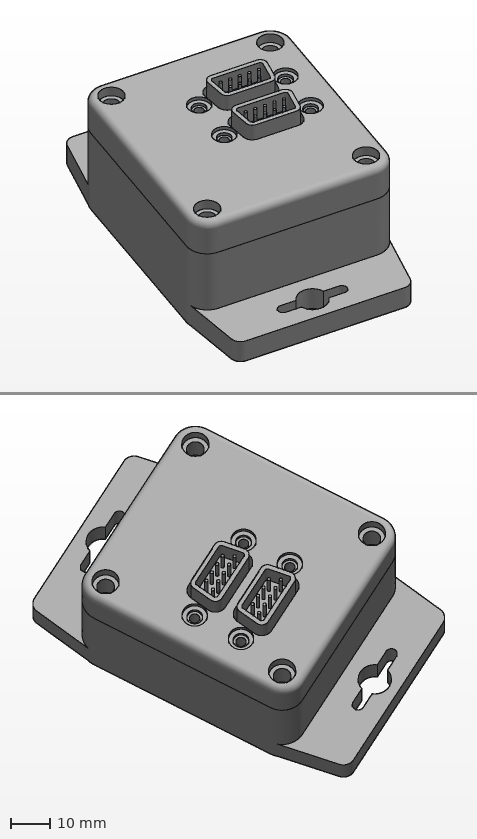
import cadquery as cq

BOX_LENGTH = 64.0
BOX_WIDTH = 58.0
BOX_CORNER_RADIUS = 6.0
SEAM_HEIGHT = 25.0
BOX_HEIGHT = 35.0
LID_EDGE_FILLET = 2.0
CORNER_X = BOX_LENGTH / 2 - BOX_CORNER_RADIUS
CORNER_Y = BOX_WIDTH / 2 - BOX_CORNER_RADIUS

OVERALL_LENGTH = 94.0
EAR_END_WIDTH = 50.95
EAR_THICKNESS = 6.6
EAR_CORNER_RADIUS = 3.0
KEYHOLE_X = 40.0
KEYHOLE_DIAMETER = 8.5
KEYHOLE_SLOT_WIDTH = 3.0
KEYHOLE_SLOT_LENGTH = 20.0

CORNER_HOLE_DIAMETER = 4.5
CORNER_COUNTERBORE_DIAMETER = 7.0
CORNER_COUNTERBORE_DEPTH = 2.8

CONNECTOR_PITCH = 13.6
CONNECTOR_PAIR_X = -5.4
CONNECTOR_Y = 7.5
CONNECTOR_TOP = 39.0
CONNECTOR_XS = [CONNECTOR_PAIR_X + side * CONNECTOR_PITCH / 2 for side in (-1, 1)]

SHELL_WIDTH = 9.4
SHELL_LONG_SIDE = 17.9
SHELL_SHORT_SIDE = 15.0
SHELL_CORNER_RADIUS = 2.0
SHELL_WALL = 1.2
WELL_DEPTH = 6.0
OPENING_CLEARANCE = 0.9

PIN_DIAMETER = 0.8
PIN_LENGTH = 5.8
LONG_ROW_PINS = 5
LONG_ROW_LENGTH = 11.1
PIN_PITCH = LONG_ROW_LENGTH / (LONG_ROW_PINS - 1)
PIN_ROW_SPACING = 2.7
PIN_ROWS = [(-PIN_ROW_SPACING / 2, LONG_ROW_PINS), (PIN_ROW_SPACING / 2, LONG_ROW_PINS - 1)]

JACK_SPACING = 25.0
JACK_RECESS_DIAMETER = 6.5
JACK_RECESS_DEPTH = 1.0
JACK_STEP_DIAMETER = 4.0
JACK_STEP_DEPTH = 1.9
JACK_HOLE_DIAMETER = 2.6


def box_block(bottom, top):
    """Rounded rectangular block with the footprint of the enclosure."""
    block = cq.Workplane("XY").workplane(offset=bottom).rect(BOX_LENGTH, BOX_WIDTH).extrude(top - bottom)
    return block.edges("|Z").fillet(BOX_CORNER_RADIUS)


def corner_cylinders(diameter, bottom, top):
    """Four cylinders on the axes of the rounded box corners."""
    plane = cq.Workplane("XY").workplane(offset=bottom)
    corners = plane.rect(2 * CORNER_X, 2 * CORNER_Y, forConstruction=True).vertices()
    return corners.circle(diameter / 2).extrude(top - bottom)


def ear_plate():
    """Plate that tapers towards both ends, from the box corners to the ear ends."""
    end_x = OVERALL_LENGTH / 2
    end_y = EAR_END_WIDTH / 2
    side_y = BOX_WIDTH / 2
    outline = [
        (-end_x, -end_y),
        (-CORNER_X, -side_y),
        (CORNER_X, -side_y),
        (end_x, -end_y),
        (end_x, end_y),
        (CORNER_X, side_y),
        (-CORNER_X, side_y),
        (-end_x, end_y),
    ]
    plate = cq.Workplane("XY").polyline(outline).close().extrude(EAR_THICKNESS)
    return plate.edges("|Z and (<X or >X)").fillet(EAR_CORNER_RADIUS)


def keyholes():
    """Cutter for the keyhole slot in each ear."""
    places = [(-KEYHOLE_X, 0), (KEYHOLE_X, 0)]
    plane = cq.Workplane("XY").pushPoints(places)
    rounds = plane.circle(KEYHOLE_DIAMETER / 2).extrude(EAR_THICKNESS)
    slots = plane.slot2D(KEYHOLE_SLOT_LENGTH, KEYHOLE_SLOT_WIDTH, 90).extrude(EAR_THICKNESS)
    return rounds.union(slots)


def d_block(offset, bottom, top):
    """D-shaped block whose outline lies `offset` outside the connector shell."""
    half_width = SHELL_WIDTH / 2
    half_long = SHELL_LONG_SIDE / 2
    half_short = SHELL_SHORT_SIDE / 2
    outline = [
        (-half_width, -half_long),
        (half_width, -half_short),
        (half_width, half_short),
        (-half_width, half_long),
    ]
    shape = cq.Workplane("XY").workplane(offset=bottom).polyline(outline).close()
    if offset:
        shape = shape.offset2D(offset, "intersection")
    return shape.extrude(top - bottom).edges("|Z").fillet(SHELL_CORNER_RADIUS + offset)


def jack_cylinders(diameter, bottom):
    """Two cylinders at the ends of a connector, up to the lid top."""
    places = [(0, -JACK_SPACING / 2), (0, JACK_SPACING / 2)]
    plane = cq.Workplane("XY").workplane(offset=bottom).pushPoints(places)
    return plane.circle(diameter / 2).extrude(BOX_HEIGHT - bottom)


def connector_cutout():
    """Cutter for one connector: the D-shaped opening and its stepped screw holes."""
    cutter = d_block(OPENING_CLEARANCE, SEAM_HEIGHT, BOX_HEIGHT)
    cutter = cutter.union(jack_cylinders(JACK_RECESS_DIAMETER, BOX_HEIGHT - JACK_RECESS_DEPTH))
    cutter = cutter.union(jack_cylinders(JACK_STEP_DIAMETER, BOX_HEIGHT - JACK_STEP_DEPTH))
    return cutter.union(jack_cylinders(JACK_HOLE_DIAMETER, SEAM_HEIGHT))


def make_base():
    """Solid base with its two ears, keyholes and the lower ends of the corner holes."""
    base = box_block(0, SEAM_HEIGHT).union(ear_plate())
    base = base.cut(keyholes())
    return base.cut(corner_cylinders(CORNER_HOLE_DIAMETER, 0, SEAM_HEIGHT))


def make_lid():
    """Lid with a rounded top edge, counterbored corner holes and the connector openings."""
    lid = box_block(SEAM_HEIGHT, BOX_HEIGHT).faces(">Z").edges().fillet(LID_EDGE_FILLET)
    lid = lid.cut(corner_cylinders(CORNER_HOLE_DIAMETER, SEAM_HEIGHT, BOX_HEIGHT))
    counterbore_floor = BOX_HEIGHT - CORNER_COUNTERBORE_DEPTH
    lid = lid.cut(corner_cylinders(CORNER_COUNTERBORE_DIAMETER, counterbore_floor, BOX_HEIGHT))
    for x in CONNECTOR_XS:
        lid = lid.cut(connector_cutout().translate((x, CONNECTOR_Y, 0)))
    return lid


def make_connector(x):
    """D-sub plug standing on the base: a shell with a well and the pins on its floor."""
    well_floor = CONNECTOR_TOP - WELL_DEPTH
    connector = d_block(0, SEAM_HEIGHT, CONNECTOR_TOP)
    connector = connector.cut(d_block(-SHELL_WALL, well_floor, CONNECTOR_TOP))
    for row_x, count in PIN_ROWS:
        pins = (
            cq.Workplane("XY")
            .workplane(offset=well_floor)
            .center(row_x, 0)
            .rarray(0.9, PIN_PITCH, 1, count)
            .circle(PIN_DIAMETER / 2)
            .extrude(PIN_LENGTH)
        )
        connector = connector.union(pins)
    return connector.translate((x, CONNECTOR_Y, 0))


base = make_base()
lid = make_lid()
connectors = [make_connector(x) for x in CONNECTOR_XS]

result = cq.Compound.makeCompound([base.val(), lid.val(), *[connector.val() for connector in connectors]])